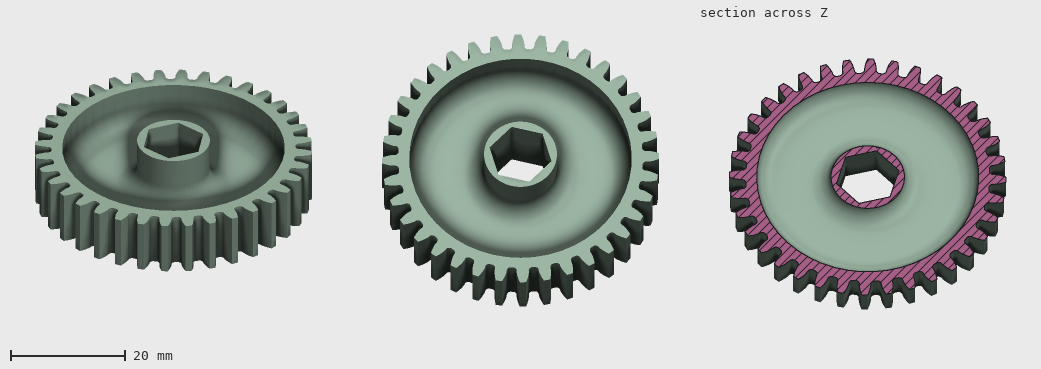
import cadquery as cq
import math

TOOTH_COUNT = 36
MODULE = 1.27
PRESSURE_ANGLE = math.radians(14.5)
ADDENDUM = MODULE
DEDENDUM = 1.25 * MODULE
FLANK_RELIEF = 0.035
ROOT_FILLET = 0.65
FLANK_SAMPLES = 5

PITCH_RADIUS = MODULE * TOOTH_COUNT / 2
BASE_RADIUS = PITCH_RADIUS * math.cos(PRESSURE_ANGLE)
TIP_RADIUS = PITCH_RADIUS + ADDENDUM
ROOT_RADIUS = PITCH_RADIUS - DEDENDUM
TOOTH_PITCH = 2 * math.pi / TOOTH_COUNT

FACE_WIDTH = 9.525
HUB_DIAMETER = 12.7
HUB_PROJECTION = 1.5625
HEX_SIDES = 6
HEX_ACROSS_FLATS = 9.6
HEX_ROTATION = 90
RIM_THICKNESS = 1.905
WEB_THICKNESS = 2.3
RECESS_FILLET = 3.175

POSITION_TOLERANCE = 1e-4

HUB_LENGTH = FACE_WIDTH + 2 * HUB_PROJECTION
HEX_ACROSS_CORNERS = HEX_ACROSS_FLATS / math.cos(math.pi / HEX_SIDES)
GEAR_BOTTOM = -FACE_WIDTH / 2
HUB_BOTTOM = -HUB_LENGTH / 2
WEB_TOP = GEAR_BOTTOM + WEB_THICKNESS
RECESS_RADIUS = ROOT_RADIUS - RIM_THICKNESS
RECESS_DEPTH = FACE_WIDTH - WEB_THICKNESS


def polar(radius, angle):
    """XY point at a radius and angle from the gear axis."""
    return (radius * math.cos(angle), radius * math.sin(angle))


def involute(angle):
    """Involute function of a pressure angle in radians."""
    return math.tan(angle) - angle


def half_tooth_angle(radius):
    """Angle from the tooth centreline to its involute flank at a radius."""
    at_pitch = TOOTH_PITCH / 4 - FLANK_RELIEF / PITCH_RADIUS
    return at_pitch + involute(PRESSURE_ANGLE) - involute(math.acos(BASE_RADIUS / radius))


def flank_points(centre, side):
    """Points from base circle to tip on one flank (side is -1 or +1)."""
    step = (TIP_RADIUS - BASE_RADIUS) / (FLANK_SAMPLES - 1)
    radii = [BASE_RADIUS + i * step for i in range(FLANK_SAMPLES)]
    return [polar(r, centre + side * half_tooth_angle(r)) for r in radii]


def flank_directions(centre, side):
    """Outward flank directions at the base circle (radial there) and at the tip."""
    base_angle = centre + side * half_tooth_angle(BASE_RADIUS)
    roll_angle = math.tan(math.acos(BASE_RADIUS / TIP_RADIUS))
    return [polar(1, base_angle), polar(1, base_angle - side * roll_angle)]


def make_toothed_blank():
    """Solid gear disc; a tooth gap is centred on each end of the X and Y axes."""
    root_half_angle = half_tooth_angle(BASE_RADIUS)
    first_centre = TOOTH_PITCH / 2
    start = polar(ROOT_RADIUS, first_centre - root_half_angle)
    outline = cq.Workplane("XY").workplane(offset=GEAR_BOTTOM).moveTo(*start)
    for i in range(TOOTH_COUNT):
        centre = first_centre + i * TOOTH_PITCH
        rising = flank_points(centre, -1)
        falling = flank_points(centre, 1)[::-1]
        rising_ends = flank_directions(centre, -1)
        falling_ends = [(-x, -y) for x, y in flank_directions(centre, 1)[::-1]]
        outline = outline.lineTo(*rising[0])
        outline = outline.spline(rising[1:], tangents=rising_ends, includeCurrent=True)
        outline = outline.threePointArc(polar(TIP_RADIUS, centre), falling[0])
        outline = outline.spline(falling[1:], tangents=falling_ends, includeCurrent=True)
        outline = outline.lineTo(*polar(ROOT_RADIUS, centre + root_half_angle))
        if i < TOOTH_COUNT - 1:
            gap_middle = polar(ROOT_RADIUS, centre + TOOTH_PITCH / 2)
            gap_end = polar(ROOT_RADIUS, centre + TOOTH_PITCH - root_half_angle)
            outline = outline.threePointArc(gap_middle, gap_end)
    outline = outline.threePointArc(polar(ROOT_RADIUS, 0), start)
    blank = outline.close().extrude(FACE_WIDTH)

    def at_root(edge):
        centre = edge.Center()
        return abs(math.hypot(centre.x, centre.y) - ROOT_RADIUS) < POSITION_TOLERANCE

    corners = blank.edges("|Z").filter(at_root)
    return corners.fillet(ROOT_FILLET)


def make_recess():
    """Annular pocket between rim and hub, rounded along both floor edges."""
    ring = (
        cq.Workplane("XY")
        .workplane(offset=WEB_TOP)
        .circle(RECESS_RADIUS)
        .circle(HUB_DIAMETER / 2)
        .extrude(RECESS_DEPTH)
    )
    return ring.faces("<Z").edges().fillet(RECESS_FILLET)


def make_hub():
    """Plain cylinder standing equally proud of both gear faces."""
    return cq.Workplane("XY").workplane(offset=HUB_BOTTOM).circle(HUB_DIAMETER / 2).extrude(HUB_LENGTH)


def make_hex_bore():
    """Through hexagon, turned so that two of its corners lie on the Y axis."""
    return (
        cq.Workplane("XY")
        .workplane(offset=HUB_BOTTOM)
        .transformed(rotate=(0, 0, HEX_ROTATION))
        .polygon(HEX_SIDES, HEX_ACROSS_CORNERS)
        .extrude(HUB_LENGTH)
    )


gear = make_toothed_blank().cut(make_recess()).union(make_hub()).cut(make_hex_bore())
result = gear.solids()